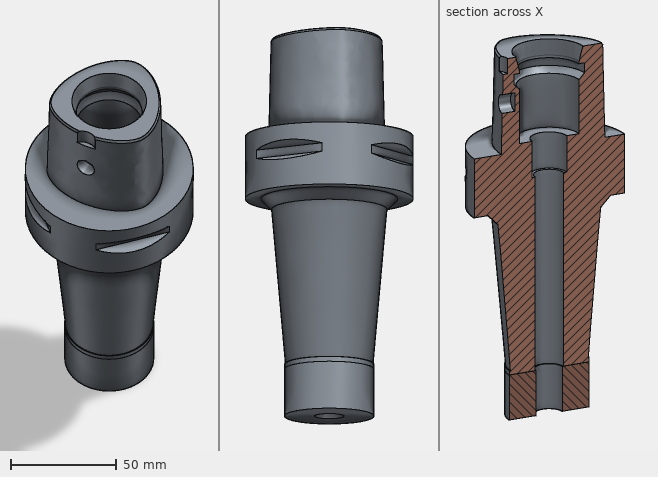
import cadquery as cq
import math

TOTAL_HEIGHT = 183.0
SHANK_HEIGHT = 48.0
FLANGE_HEIGHT = 30.0
FLANGE_CONE_HEIGHT = 5.1
SLEEVE_HEIGHT = 22.7
COLLAR_HEIGHT = 2.4
COLLAR_TOP_Z = SLEEVE_HEIGHT + COLLAR_HEIGHT
FLANGE_BASE_Z = TOTAL_HEIGHT - SHANK_HEIGHT - FLANGE_HEIGHT
FLANGE_TOP_Z = FLANGE_BASE_Z + FLANGE_HEIGHT
CONE_BASE_Z = FLANGE_BASE_Z - FLANGE_CONE_HEIGHT

FLANGE_RADIUS = 80.0 / 2
FLANGE_CONE_RADIUS = 32.5
NECK_TOP_RADIUS = 27.5
NECK_BASE_RADIUS = 20.9
SLEEVE_RADIUS = 21.2

SHANK_MEAN_RADIUS = 27.6
SHANK_ECCENTRICITY = 2.0
SHANK_TAPER = 1 / 20
SHANK_POINTS = 48
SHANK_BEVEL_HEIGHT = 1.1
SHANK_BEVEL_WIDTH = 0.7

MOUTH_RADIUS = 17.8
MOUTH_DEPTH = 7.5
LAND_HEIGHT = 1.3
UNDERCUT_RADIUS = 18.7
SEAT_DEPTH = 13.7
CHAMBER_RADIUS = 15.7
CHAMBER_TOP_DEPTH = 16.7
CHAMBER_DEPTH = 44.0
THREAD_RADIUS = 9.2
THREAD_DEPTH = 62.2
BORE_RADIUS = 7.5
SLEEVE_BORE_RADIUS = 7.0

KEYWAY_WIDTH = 9.5
KEYWAY_HEIGHT = 7.7
KEYWAY_CUTTER_RADIUS = 7.3
KEYWAY_FLOOR_Y = -22.3
RADIAL_HOLE_RADIUS = 4.5
RADIAL_HOLE_Z = 160.3
RADIAL_HOLE_FLOOR_Y = -18.3

GROOVE_COUNT = 4
GROOVE_START_ANGLE = 45
GROOVE_FLOOR_DISTANCE = 35.5
GROOVE_FLOOR_HEIGHT = 4.0
GROOVE_FLANK_ANGLE = 30
GROOVE_Z = 123.0


def shank_section(z, inset=0.0):
    """Closed rounded-triangle wire, flat side toward -Y."""
    radius = SHANK_MEAN_RADIUS - SHANK_TAPER * (z - FLANGE_TOP_Z) / 2 - inset
    e = SHANK_ECCENTRICITY
    points = []
    for i in range(SHANK_POINTS):
        t = 2 * math.pi * i / SHANK_POINTS
        toward_flat = radius * math.cos(t) - 2 * e * math.cos(2 * t) + e * math.cos(4 * t)
        sideways = radius * math.sin(t) + 2 * e * math.sin(2 * t) + e * math.sin(4 * t)
        points.append(cq.Vector(sideways, -toward_flat, z))
    return cq.Wire.assembleEdges([cq.Edge.makeSpline(points, periodic=True)])


def make_shank():
    bevel_z = TOTAL_HEIGHT - SHANK_BEVEL_HEIGHT
    lower = cq.Solid.makeLoft([shank_section(FLANGE_TOP_Z), shank_section(bevel_z)], True)
    rim = shank_section(TOTAL_HEIGHT, SHANK_BEVEL_WIDTH)
    bevel = cq.Solid.makeLoft([shank_section(bevel_z), rim], True)
    return cq.Workplane(lower).union(cq.Workplane(bevel))


def revolve_profile(points):
    return cq.Workplane("XZ").polyline(points).close().revolve(360, (0, 0), (0, 1))


def make_flange_and_neck():
    return revolve_profile([
        (0, SLEEVE_HEIGHT),
        (SLEEVE_RADIUS, SLEEVE_HEIGHT),
        (SLEEVE_RADIUS, COLLAR_TOP_Z),
        (NECK_BASE_RADIUS, COLLAR_TOP_Z),
        (NECK_TOP_RADIUS, CONE_BASE_Z),
        (FLANGE_CONE_RADIUS, FLANGE_BASE_Z),
        (FLANGE_RADIUS, FLANGE_BASE_Z),
        (FLANGE_RADIUS, FLANGE_TOP_Z),
        (0, FLANGE_TOP_Z),
    ])


def make_bore():
    chamber_floor_z = TOTAL_HEIGHT - CHAMBER_DEPTH
    thread_floor_z = TOTAL_HEIGHT - THREAD_DEPTH
    undercut_top_z = TOTAL_HEIGHT - MOUTH_DEPTH - LAND_HEIGHT
    return revolve_profile([
        (0, TOTAL_HEIGHT),
        (MOUTH_RADIUS, TOTAL_HEIGHT),
        (CHAMBER_RADIUS, TOTAL_HEIGHT - MOUTH_DEPTH),
        (CHAMBER_RADIUS, undercut_top_z),
        (UNDERCUT_RADIUS, undercut_top_z),
        (UNDERCUT_RADIUS, TOTAL_HEIGHT - SEAT_DEPTH),
        (CHAMBER_RADIUS, TOTAL_HEIGHT - CHAMBER_TOP_DEPTH),
        (CHAMBER_RADIUS, chamber_floor_z),
        (THREAD_RADIUS, chamber_floor_z),
        (THREAD_RADIUS, thread_floor_z),
        (BORE_RADIUS, thread_floor_z),
        (BORE_RADIUS, SLEEVE_HEIGHT),
        (0, SLEEVE_HEIGHT),
    ])


def make_keyway():
    """Upright round cutter trimmed to the keyway width."""
    base_z = TOTAL_HEIGHT - KEYWAY_HEIGHT
    cutter_y = KEYWAY_FLOOR_Y - KEYWAY_CUTTER_RADIUS
    cutter = (
        cq.Workplane("XY", origin=(0, cutter_y, base_z))
        .circle(KEYWAY_CUTTER_RADIUS)
        .extrude(KEYWAY_HEIGHT)
    )
    limits = (
        cq.Workplane("XY", origin=(0, cutter_y, base_z))
        .rect(KEYWAY_WIDTH, 2 * KEYWAY_CUTTER_RADIUS)
        .extrude(KEYWAY_HEIGHT)
    )
    return cutter.intersect(limits)


def make_radial_hole():
    """Blind hole in the flat side of the shank."""
    return (
        cq.Workplane("XZ", origin=(0, RADIAL_HOLE_FLOOR_Y, RADIAL_HOLE_Z))
        .circle(RADIAL_HOLE_RADIUS)
        .extrude(FLANGE_RADIUS)
    )


def make_gripper_groove(angle):
    """Straight trapezoidal groove across the flange rim, facing the given angle."""
    depth = FLANGE_RADIUS - GROOVE_FLOOR_DISTANCE
    floor_half = GROOVE_FLOOR_HEIGHT / 2
    mouth_half = floor_half + depth * math.tan(math.radians(GROOVE_FLANK_ANGLE))
    return (
        cq.Workplane("XZ")
        .polyline([
            (GROOVE_FLOOR_DISTANCE, GROOVE_Z - floor_half),
            (FLANGE_RADIUS, GROOVE_Z - mouth_half),
            (FLANGE_RADIUS, GROOVE_Z + mouth_half),
            (GROOVE_FLOOR_DISTANCE, GROOVE_Z + floor_half),
        ])
        .close()
        .extrude(FLANGE_RADIUS, both=True)
        .rotate((0, 0, 0), (0, 0, 1), angle)
    )


def make_holder():
    holder = make_flange_and_neck().union(make_shank())
    holder = holder.cut(make_bore()).cut(make_keyway()).cut(make_radial_hole())
    for i in range(GROOVE_COUNT):
        holder = holder.cut(make_gripper_groove(GROOVE_START_ANGLE + i * 360 / GROOVE_COUNT))
    return holder


def make_sleeve():
    """Clamping sleeve closing the lower end of the holder."""
    return revolve_profile([
        (SLEEVE_BORE_RADIUS, 0),
        (SLEEVE_RADIUS, 0),
        (SLEEVE_RADIUS, SLEEVE_HEIGHT),
        (SLEEVE_BORE_RADIUS, SLEEVE_HEIGHT),
    ])


holder = make_holder()
sleeve = make_sleeve()
result = cq.Compound.makeCompound([holder.val(), sleeve.val()])